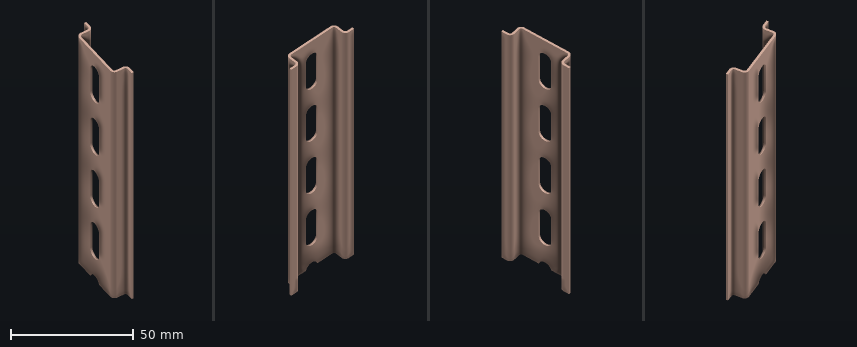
import cadquery as cq

length = 130.0
width = 35.0
depth = 7.5
sheet = 1.0

channel_width = 27.0
inner_radius = 1.0
outer_radius = inner_radius + sheet

slot_length = 20.0
slot_width = 6.5
slot_count = 5
slot_row_span = 120.0
slot_pitch = slot_row_span / (slot_count - 1)
top_slot_drop = 17.4


def make_rail():
    """Bent sheet: floor at Y = 0, flanges at Y = depth, extruded along Z."""
    half_width = width / 2
    half_outer = channel_width / 2
    half_inner = half_outer - sheet
    flange_front = depth - sheet
    outline = [
        (-half_width, depth),
        (-half_inner, depth),
        (-half_inner, sheet),
        (half_inner, sheet),
        (half_inner, depth),
        (half_width, depth),
        (half_width, flange_front),
        (half_outer, flange_front),
        (half_outer, 0),
        (-half_outer, 0),
        (-half_outer, flange_front),
        (-half_width, flange_front),
    ]
    rail = cq.Workplane("XY").polyline(outline).close().extrude(length)

    def bend_edges(points):
        """Vertical edges of the rail passing through the given XY points."""
        tolerance = 0.001
        edges = rail.edges("|Z")
        return edges.filter(
            lambda e: any(abs(e.Center().x - x) + abs(e.Center().y - y) < tolerance for x, y in points)
        )

    outer_bends = [(side * half_outer, 0) for side in (-1, 1)]
    outer_bends += [(side * half_inner, depth) for side in (-1, 1)]
    inner_bends = [(side * half_inner, sheet) for side in (-1, 1)]
    inner_bends += [(side * half_outer, flange_front) for side in (-1, 1)]
    rail = bend_edges(outer_bends).fillet(outer_radius)
    rail = bend_edges(inner_bends).fillet(inner_radius)
    return rail


def make_slots():
    """Row of round-ended slots, long side along Z, spaced down from the top."""
    centres = [(0, length - top_slot_drop - i * slot_pitch) for i in range(slot_count)]
    return cq.Workplane("XZ").pushPoints(centres).slot2D(slot_length, slot_width, 90).extrude(depth, both=True)


result = make_rail().cut(make_slots())